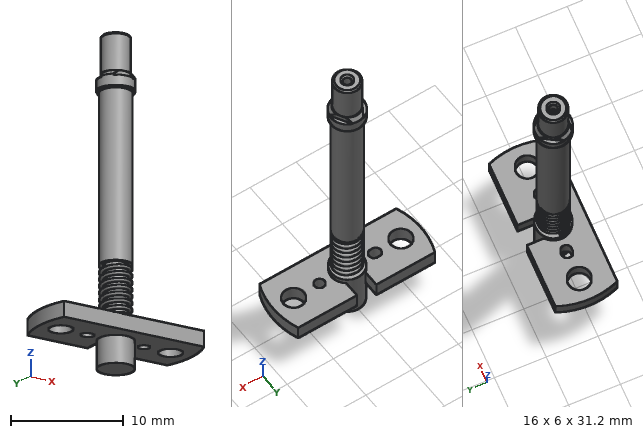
import cadquery as cq
import math

plate_length = 15.97
plate_width = 6.0
plate_bottom = 2.62
plate_thickness = 1.5
notch_width = 2.1
mount_hole_diameter = 2.2
mount_hole_offset = 5.8
pin_hole_diameter = 1.05
pin_hole_offset = 3.0
pin_slot_length = 1.25

sleeve_top = 4.62
body_bottom = 9.75
collar_bottom = 25.9
flat_bottom = 27.02
cone_bottom = 27.1
cone_top = 27.58
total_height = 31.2

sleeve_radius = 3.4 / 2
core_radius = 1.12
body_radius = 1.5
collar_radius = 1.75
cone_top_radius = 1.4
post_radius = 1.35

collar_chamfer_inset = 0.1
collar_chamfer_height = 0.15
post_chamfer = 0.2

flat_count = 3

strand_depth = 0.4
strand_width = 0.3
coil_radius = 1.28
coil_turns = 8

mouth_diameter = 1.22
bore_diameter = 0.8
bore_depth = 1.25
pilot_diameter = 0.45
pilot_depth = 0.62


def cylinder(radius, bottom, top):
    return cq.Workplane("XY").workplane(offset=bottom).circle(radius).extrude(top - bottom)


def make_plate():
    """Round-ended plate: the end arcs are concentric with the axis."""
    plate_top = plate_bottom + plate_thickness
    strip = cq.Workplane("XY").box(plate_length, plate_width, plate_thickness, centered=(True, True, False))
    strip = strip.translate((0, 0, plate_bottom))
    plate = strip.intersect(cylinder(plate_length / 2, plate_bottom, plate_top))

    notch_length = plate_width / 2
    plate = plate.cut(
        cq.Workplane("XY")
        .center(0, notch_length / 2)
        .rect(notch_width, notch_length)
        .extrude(plate_top)
    )

    holes = (
        cq.Workplane("XY")
        .pushPoints([(-mount_hole_offset, 0), (mount_hole_offset, 0)])
        .circle(mount_hole_diameter / 2)
        .extrude(plate_top)
    )
    pin_hole = cq.Workplane("XY").center(pin_hole_offset, 0).circle(pin_hole_diameter / 2).extrude(plate_top)
    pin_slot = (
        cq.Workplane("XY")
        .center(-pin_hole_offset, 0)
        .slot2D(pin_slot_length, pin_hole_diameter)
        .extrude(plate_top)
    )
    return plate.cut(holes).cut(pin_hole).cut(pin_slot)


def make_pin():
    """Turned pin: sleeve, core, body, collar with cone, and post."""
    profile = [
        (0, 0),
        (sleeve_radius, 0),
        (sleeve_radius, sleeve_top),
        (core_radius, sleeve_top),
        (core_radius, body_bottom),
        (body_radius, body_bottom),
        (body_radius, collar_bottom),
        (collar_radius - collar_chamfer_inset, collar_bottom),
        (collar_radius, collar_bottom + collar_chamfer_height),
        (collar_radius, cone_bottom),
        (cone_top_radius, cone_top),
        (post_radius, cone_top),
        (post_radius, total_height - post_chamfer),
        (post_radius - post_chamfer, total_height),
        (0, total_height),
    ]
    return cq.Workplane("XZ").polyline(profile).close().revolve(360, (0, 0, 0), (0, 1, 0))


def make_flat_cutter(turn):
    """Block that leaves a flat facing -Y, turned about the axis."""
    return (
        cq.Workplane("XY")
        .workplane(offset=flat_bottom)
        .center(0, -post_radius - collar_radius / 2)
        .rect(2 * collar_radius, collar_radius)
        .extrude(cone_top - flat_bottom)
        .rotate((0, 0, 0), (0, 0, 1), turn)
    )


def make_bore():
    """Countersunk bore with a smaller pilot hole below it."""
    countersink_depth = (mouth_diameter - bore_diameter) / 2
    bore_bottom = total_height - bore_depth
    profile = [
        (0, bore_bottom - pilot_depth),
        (pilot_diameter / 2, bore_bottom - pilot_depth),
        (pilot_diameter / 2, bore_bottom),
        (bore_diameter / 2, bore_bottom),
        (bore_diameter / 2, total_height - countersink_depth),
        (mouth_diameter / 2, total_height),
        (0, total_height),
    ]
    return cq.Workplane("XZ").polyline(profile).close().revolve(360, (0, 0, 0), (0, 1, 0))


def make_spring():
    """Right-handed coil that starts and ends on the -X side."""
    coil_height = body_bottom - sleeve_top
    pitch = coil_height / coil_turns
    path = cq.Wire.makeHelix(pitch, coil_height, coil_radius)
    tangent = cq.Vector(0, 2 * math.pi * coil_radius, pitch)
    start = cq.Plane(origin=(coil_radius, 0, 0), xDir=(1, 0, 0), normal=tangent)
    coil = cq.Workplane(start).slot2D(strand_depth, strand_width).sweep(cq.Workplane(path), isFrenet=True)
    return coil.rotate((0, 0, 0), (0, 0, 1), 180).translate((0, 0, sleeve_top))


pin = make_pin().cut(make_bore())
for index in range(flat_count):
    pin = pin.cut(make_flat_cutter(index * 360 / flat_count))

result = pin.union(make_spring()).union(make_plate())